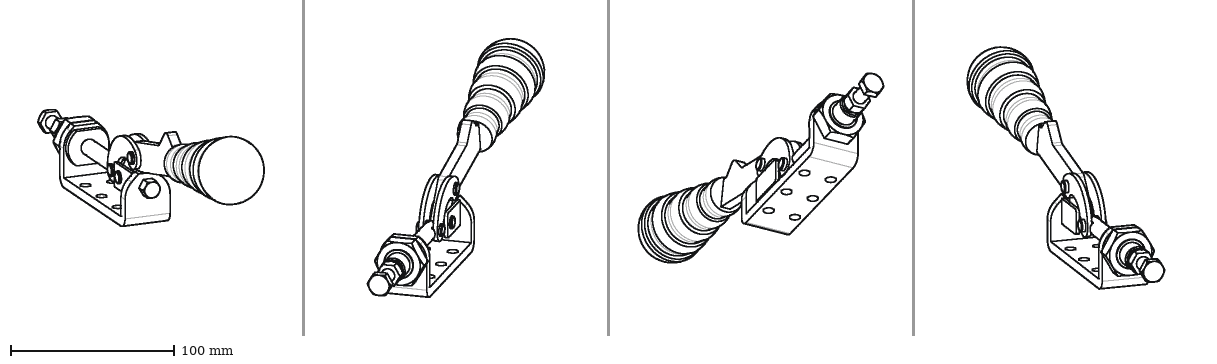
import cadquery as cq
import math


OVERSIZE = 598.8

BOLT_HEAD_END = 5.0
LOCK_NUT_START = 19.8
LOCK_NUT_END = 27.2
SLEEVE_START = 30.0
BIG_NUT_START = 42.2
COLLAR_LENGTH = 1.0
COLLAR_RADIUS = 9.3
BOLT_RADIUS = 4.2
ROD_RADIUS = 5.0
SLEEVE_RADIUS = 7.5
SLEEVE_CHAMFER = 1.0
SMALL_HEX_FLATS = 13.2
BIG_HEX_FLATS = 27.5
HEX_CHAMFER = 1.2

WALL = 6.3
BRACKET_START = 51.8
BRACKET_END = 152.0
BRACKET_BOTTOM = -25.2
BRACKET_WIDTH = 30.2
BEND_RADIUS = 6.5
FRONT_WALL_TOP = 13.5
FRONT_ARCH_CENTRE = 0
REAR_WALL_TOP = 9.0
REAR_ARCH_CENTRE = -6.3
SLOPE_ANGLE = 45
HOLE_RADIUS = 3.3
HOLE_FIRST = 77.2
HOLE_PITCH = 25.0
HOLE_SIDE = 9.0
HOLES_PER_ROW = 3

SHOULDER_LENGTH = 3.5
SHOULDER_RADIUS = 13.8
SHOULDER_HALF_FLATS = 11.0

REAR_NUT_LENGTH = 7.2
REAR_NUT_FLATS = 10.2

PLUNGER_PIVOT = (111.0, 0)
LINK_PIVOT = (142.0, 16.5)
LEVER_PIVOT = (126.7, 0)
PIN_RADIUS = 4.0
PIN_CHAMFER = 0.5
LINK_PIN_ENDS = (-7.8, 8.7)

BLADE_WIDTH = 6.3
BLADE_HALF = BLADE_WIDTH / 2
LINK_OUTER = 6.0
EAR_OUTER = 8.0
LEVER_PIN_ENDS = (-9.5, EAR_OUTER)

EAR_START = 119.2
EAR_HALF_HEIGHT = 8.0
EAR_CORNER = 1.8

LINK_END_RADIUS = 7.2
LINK_CENTRE_OFFSET = 10.5
LINK_INNER_RADIUS = 14.5

TONGUE_START = 102.0

HANDLE_ANGLE = 12.3
GRIP_START = (203.0, 29.5)

RINGS = (
    ((0, 11.0), (5.5, 12.0), (10.2, 11.5), 10.8),
    ((17.0, 12.3), (25.5, 14.0), (29.3, 13.8), 13.0),
    ((36.8, 15.0), (45.5, 16.8), (50.0, 16.2), 16.0),
    ((55.7, 17.7), (65.0, 19.5), (69.2, 18.5), 18.3),
)
RING_BULGE = 0.3
NECK_DIP = 0.3
STEP_LENGTH = 1.0
BALL_START = 75.0
BALL_START_RADIUS = 20.0
BALL_CENTRE = 77.2
BALL_RADIUS = 21.0

BLADE_BOTTOM = -8.7
BLADE_TOP = 9.5
BLADE_EYE_RADIUS = 7.5
BLADE_NOSE = -66.0
BLADE_HEEL = -58.5
NOSE_RADIUS = 4.5
SPUR_BACK = -25.5
SPUR_TIP = (-11.7, 19.8)
SPUR_FRONT = -3.5
SPUR_ROUND = 4.0
TANG_LENGTH = 9.0


def disc_bar(start, end, radius):
    """Round bar along X."""
    return cq.Workplane("YZ").workplane(offset=start).circle(radius).extrude(end - start)


def hex_nut(start, end, flats, front_chamfer, back_chamfer):
    """Hexagon along X with flats facing up and down and its corners bevelled on the chosen ends."""
    corner_radius = flats / 2 / math.cos(math.radians(30))
    body = cq.Workplane("YZ").workplane(offset=start).polygon(6, 2 * corner_radius).extrude(end - start)
    bevel = disc_bar(start, end, corner_radius)
    radial = corner_radius - flats / 2
    if front_chamfer:
        bevel = bevel.faces("<X").chamfer(HEX_CHAMFER, radial)
    if back_chamfer:
        bevel = bevel.faces(">X").chamfer(HEX_CHAMFER, radial)
    return body.intersect(bevel)


def plate(outline, y_low, y_high):
    """Extrude an outline drawn in X and Z between two Y positions."""
    return outline.extrude(y_low - y_high).translate((0, y_low, 0))


def side_disc(centre, radius, y_low, y_high):
    """Round disc across Y, centred on a point in X and Z."""
    return plate(cq.Workplane("XZ").center(*centre).circle(radius), y_low, y_high)


def make_plunger():
    """Bolt, nuts, guide sleeve and rod, ending in a flat rounded tongue."""
    body = hex_nut(0, BOLT_HEAD_END, SMALL_HEX_FLATS, True, False)
    body = body.union(disc_bar(BOLT_HEAD_END, SLEEVE_START, BOLT_RADIUS))
    body = body.union(hex_nut(LOCK_NUT_START, LOCK_NUT_END, SMALL_HEX_FLATS, False, True))
    body = body.union(disc_bar(LOCK_NUT_END, TONGUE_START, ROD_RADIUS))
    sleeve = disc_bar(SLEEVE_START, BRACKET_START, SLEEVE_RADIUS).faces("<X").chamfer(SLEEVE_CHAMFER)
    body = body.union(sleeve)
    body = body.union(disc_bar(BIG_NUT_START - COLLAR_LENGTH, BIG_NUT_START, COLLAR_RADIUS))
    body = body.union(hex_nut(BIG_NUT_START, BRACKET_START, BIG_HEX_FLATS, True, False))
    shoulder_start = BRACKET_START + WALL
    shoulder = disc_bar(shoulder_start, shoulder_start + SHOULDER_LENGTH, SHOULDER_RADIUS)
    shoulder = shoulder.intersect(cq.Workplane().box(OVERSIZE, OVERSIZE, 2 * SHOULDER_HALF_FLATS))
    body = body.union(shoulder)
    tongue = disc_bar(TONGUE_START, PLUNGER_PIVOT[0], ROD_RADIUS)
    tongue = tongue.intersect(cq.Workplane().box(OVERSIZE, 2 * BLADE_HALF, OVERSIZE))
    tongue = tongue.union(side_disc(PLUNGER_PIVOT, ROD_RADIUS, -BLADE_HALF, BLADE_HALF))
    return body.union(tongue)


def wall_outline(arch_centre, top):
    """Rounded sides that run at 45 degrees, through tangent slopes, into a flat top."""
    half = BRACKET_WIDTH / 2
    diagonal = half * math.cos(math.radians(SLOPE_ANGLE))
    mid_angle = math.radians(SLOPE_ANGLE / 2)
    knee = (half * math.cos(mid_angle), arch_centre + half * math.sin(mid_angle))
    slope_start = (diagonal, arch_centre + diagonal)
    flat_half = 2 * diagonal - (top - arch_centre)
    return (
        cq.Workplane("YZ").moveTo(-half, BRACKET_BOTTOM).lineTo(half, BRACKET_BOTTOM)
        .lineTo(half, arch_centre).threePointArc(knee, slope_start)
        .lineTo(flat_half, top).lineTo(-flat_half, top).lineTo(-slope_start[0], slope_start[1])
        .threePointArc((-knee[0], knee[1]), (-half, arch_centre)).close()
    )


def make_bracket():
    """U-shaped strip with two rows of base holes and the nut on its rear wall."""
    length = BRACKET_END - BRACKET_START
    height = FRONT_WALL_TOP - BRACKET_BOTTOM
    solid = cq.Workplane().box(length, BRACKET_WIDTH, height, centered=(False, True, False))
    solid = solid.translate((BRACKET_START, 0, BRACKET_BOTTOM)).edges("|Y and <Z").fillet(BEND_RADIUS)
    inside = cq.Workplane().box(length - 2 * WALL, BRACKET_WIDTH, height, centered=(False, True, False))
    solid = solid.cut(inside.translate((BRACKET_START + WALL, 0, BRACKET_BOTTOM + WALL)))
    middle = (BRACKET_START + BRACKET_END) / 2
    front = wall_outline(FRONT_ARCH_CENTRE, FRONT_WALL_TOP).extrude(middle)
    rear = wall_outline(REAR_ARCH_CENTRE, REAR_WALL_TOP).extrude(OVERSIZE).translate((middle, 0, 0))
    solid = solid.intersect(front.union(rear))
    for i in range(HOLES_PER_ROW):
        for side in (-HOLE_SIDE, HOLE_SIDE):
            hole = cq.Workplane().circle(HOLE_RADIUS).extrude(WALL)
            solid = solid.cut(hole.translate((HOLE_FIRST + i * HOLE_PITCH, side, BRACKET_BOTTOM)))
    return solid.union(hex_nut(BRACKET_END, BRACKET_END + REAR_NUT_LENGTH, REAR_NUT_FLATS, False, True))


def make_ear(y_low, y_high):
    """Plate reaching forward from the rear wall to carry the lever pivot."""
    length = BRACKET_END - WALL - EAR_START
    outline = cq.Workplane("XZ").center(EAR_START + length / 2, 0).rect(length, 2 * EAR_HALF_HEIGHT)
    return plate(outline, y_low, y_high).edges("|Y and <X").fillet(EAR_CORNER)


def make_link(y_low, y_high):
    """Ring segment joining the two pivot eyes; its centre is set off below the line between them."""
    (x1, z1), (x2, z2) = PLUNGER_PIVOT, LINK_PIVOT
    span = math.hypot(x2 - x1, z2 - z1)
    ux, uz = (x2 - x1) / span, (z2 - z1) / span
    cx = (x1 + x2) / 2 + LINK_CENTRE_OFFSET * uz
    cz = (z1 + z2) / 2 - LINK_CENTRE_OFFSET * ux
    pivot_distance = math.hypot(x1 - cx, z1 - cz)
    outer = pivot_distance + LINK_END_RADIUS

    def along(radius, angle):
        return (cx + radius * math.cos(angle), cz + radius * math.sin(angle))

    start_angle = math.atan2(z1 - cz, x1 - cx)
    end_angle = math.atan2(z2 - cz, x2 - cx)
    middle = (start_angle + end_angle) / 2
    outline = (
        cq.Workplane("XZ").moveTo(*along(outer, start_angle))
        .threePointArc(along(outer, middle), along(outer, end_angle))
        .lineTo(*along(LINK_INNER_RADIUS, end_angle))
        .threePointArc(along(LINK_INNER_RADIUS, middle), along(LINK_INNER_RADIUS, start_angle)).close()
    )
    link = plate(outline, y_low, y_high)
    for pivot in (PLUNGER_PIVOT, LINK_PIVOT):
        link = link.union(side_disc(pivot, LINK_END_RADIUS, y_low, y_high))
    return link


def make_pin(pivot, ends):
    return side_disc(pivot, PIN_RADIUS, *ends).faces("<Y or >Y").chamfer(PIN_CHAMFER)


def place_handle(shape):
    """Tilt a shape built along the grip axis and move it to the grip's front face."""
    return shape.rotate((0, 0, 0), (0, 1, 0), -HANDLE_ANGLE).translate((GRIP_START[0], 0, GRIP_START[1]))


def eye_tangent(eye, point, side):
    """Where the straight edge from a point touches the lever eye, on its upper (1) or lower (-1) side."""
    dx, dz = point[0] - eye[0], point[1] - eye[1]
    angle = math.atan2(dz, dx) + side * math.acos(BLADE_EYE_RADIUS / math.hypot(dx, dz))
    return (eye[0] + BLADE_EYE_RADIUS * math.cos(angle), eye[1] + BLADE_EYE_RADIUS * math.sin(angle))


def make_blade():
    """Flat lever with a thumb spur, tapering into an eye at the lever pivot."""
    tilt = math.radians(HANDLE_ANGLE)
    dx, dz = LEVER_PIVOT[0] - GRIP_START[0], LEVER_PIVOT[1] - GRIP_START[1]
    eye = (dx * math.cos(tilt) + dz * math.sin(tilt), dz * math.cos(tilt) - dx * math.sin(tilt))
    nose = (BLADE_NOSE, BLADE_TOP)
    heel = (BLADE_HEEL, BLADE_BOTTOM)
    nose_tangent = eye_tangent(eye, nose, 1)
    heel_tangent = eye_tangent(eye, heel, -1)
    outline = (
        cq.Workplane("XZ").moveTo(*heel_tangent).lineTo(*heel).lineTo(TANG_LENGTH, BLADE_BOTTOM)
        .lineTo(TANG_LENGTH, BLADE_TOP).lineTo(SPUR_FRONT, BLADE_TOP).lineTo(*SPUR_TIP)
        .lineTo(SPUR_BACK, BLADE_TOP).lineTo(*nose).lineTo(*nose_tangent).close()
    )
    blade = plate(outline, -BLADE_HALF, BLADE_HALF)
    corners = ((nose, NOSE_RADIUS), (SPUR_TIP, SPUR_ROUND),
               ((SPUR_BACK, BLADE_TOP), SPUR_ROUND), ((SPUR_FRONT, BLADE_TOP), SPUR_ROUND))
    for (x, z), radius in corners:
        blade = blade.edges(cq.NearestToPointSelector((x, 0, z))).fillet(radius)
    blade = blade.union(side_disc(eye, BLADE_EYE_RADIUS, -BLADE_HALF, BLADE_HALF))
    return place_handle(blade)


def bulge(start, end, height):
    """Point above (or below, if negative) the middle of the line between two profile points."""
    return ((start[0] + end[0]) / 2, (start[1] + end[1]) / 2 + height)


def make_grip():
    """Ringed grip ending in a ball, turned about its own axis."""
    profile = cq.Workplane("XZ").moveTo(0, 0)
    next_starts = [ring[0][0] for ring in RINGS[1:]] + [BALL_START]
    for (start, crest, flat_end, neck_radius), next_start in zip(RINGS, next_starts):
        neck = (next_start - STEP_LENGTH, neck_radius)
        profile = (
            profile.lineTo(*start).threePointArc(bulge(start, crest, RING_BULGE), crest)
            .lineTo(*flat_end).threePointArc(bulge(flat_end, neck, -NECK_DIP), neck)
        )
    diagonal = BALL_RADIUS * math.cos(math.radians(45))
    profile = (
        profile.lineTo(BALL_START, BALL_START_RADIUS).lineTo(BALL_CENTRE, BALL_RADIUS)
        .threePointArc((BALL_CENTRE + diagonal, diagonal), (BALL_CENTRE + BALL_RADIUS, 0)).close()
    )
    return place_handle(profile.revolve(360, (0, 0, 0), (1, 0, 0)))


result = make_bracket().union(make_plunger())
for low, high in ((BLADE_HALF, LINK_OUTER), (-LINK_OUTER, -BLADE_HALF)):
    result = result.union(make_link(low, high))
for low, high in ((LINK_OUTER, EAR_OUTER), (-EAR_OUTER, -LINK_OUTER)):
    result = result.union(make_ear(low, high))
result = result.union(make_blade()).union(make_grip())
for pivot in (PLUNGER_PIVOT, LINK_PIVOT):
    result = result.union(make_pin(pivot, LINK_PIN_ENDS))
result = result.union(make_pin(LEVER_PIVOT, LEVER_PIN_ENDS))